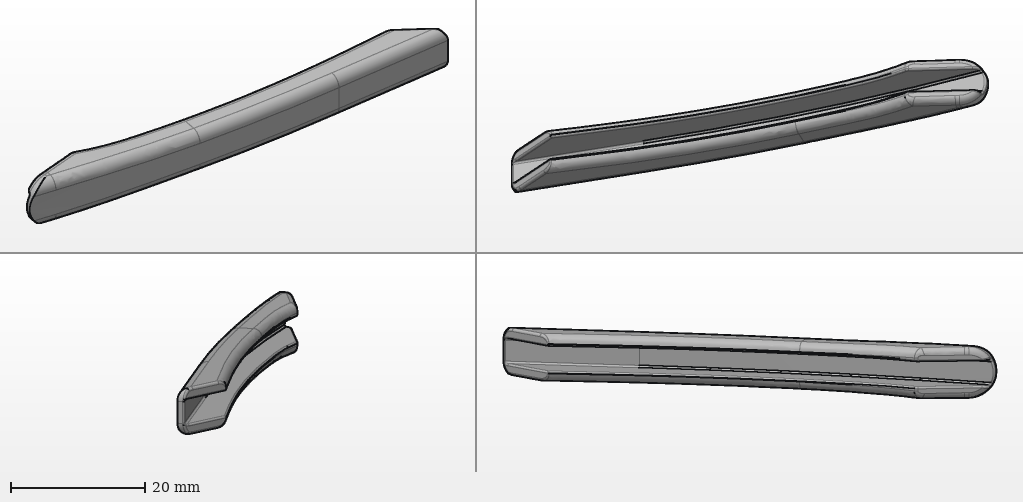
import cadquery as cq

length = 75.1
half_length = length / 2
end_width = 7.8
body_width = 7.2
flare_start_y = -8.25
flare_end_y = -33.0

channel_width = 3.75
web_thickness = 1.05

back_top = (1.7, half_length)
back_arc_start = (3.15, 17.05)
back_arc_crest = (4.0, -5.4)
back_bottom = (2.3, -half_length)

top_cut_corner = (-4.0, 29.6)
top_cut_end = (0.7, half_length)
bottom_cut_corner = (-2.85, -26.4)
bottom_cut_end = (0.6, -half_length)

free_edge_top = (-5.0, half_length)
free_edge_curve = [(-2.6, 18.85), (-1.65, 7.5), (-1.3, -6.1), (-1.5, -15.8), (-1.9, -21.25)]
free_edge_bottom = (-4.8, -half_length)

back_radius = 1.7
flange_outer_radius = 1.35
flange_inner_radius = 0.3
floor_radius = 0.3
top_cut_radius = 0.45
bottom_cut_radius = 1.05
top_corner_radius = 2.25

reach = 9.0
selection_margin = 0.1


def xy_plane(half_depth):
    """Workplane at the bottom of a slab centred on the XY plane."""
    return cq.Workplane("XY").workplane(offset=-half_depth)


def yz_plane():
    """Workplane at the -X side of a slab centred on the YZ plane."""
    return cq.Workplane("YZ").workplane(offset=-reach)


def mirrored_box(x_range, y_reach, z_range):
    """Selector for edges whose middles lie in a box or in its mirror image below the XY plane."""
    x_min, x_max = x_range
    z_min, z_max = z_range
    upper = cq.selectors.BoxSelector((x_min, -y_reach, z_min), (x_max, y_reach, z_max))
    lower = cq.selectors.BoxSelector((x_min, -y_reach, -z_max), (x_max, y_reach, -z_min))
    return upper + lower


def long_edges(x_min, x_max):
    """Selector for the lengthwise edges on both sides, leaving out those at the two ends."""
    return mirrored_box((x_min, x_max), half_length - selection_margin, (channel_width / 4, reach))


def mouth_edges():
    """Selector for the inner edges of both flanges, along the mouth of the channel."""
    wall_z = channel_width / 2
    z_range = (wall_z - selection_margin, wall_z + selection_margin)
    return mirrored_box((-reach, 0), half_length, z_range)


def start_back_curve(plane, inset=0.0):
    """Draw the back curve from +Y to -Y, moved toward -X by an inset."""
    top, arc_start, crest, bottom = [
        (x - inset, y) for x, y in (back_top, back_arc_start, back_arc_crest, back_bottom)
    ]
    return plane.moveTo(*top).lineTo(*arc_start).threePointArc(crest, bottom)


def bowed_slab():
    """Bowed outline between the back curve and the free edge of the flanges."""
    free_edge = [bottom_cut_corner] + free_edge_curve[::-1] + [top_cut_corner, free_edge_top]
    return (
        start_back_curve(xy_plane(reach))
        .lineTo(*free_edge_bottom)
        .spline(free_edge, includeCurrent=True)
        .close()
        .extrude(2 * reach)
    )


def flared_slab():
    """Parallel side faces that spread smoothly towards the -Y end."""
    half_body = body_width / 2
    half_end = end_width / 2
    toward_top = (1, 0)
    toward_bottom = (-1, 0)
    return (
        yz_plane()
        .moveTo(-half_length, -half_end)
        .lineTo(flare_end_y, -half_end)
        .spline([(flare_start_y, -half_body)], tangents=[toward_top] * 2, includeCurrent=True)
        .lineTo(half_length, -half_body)
        .lineTo(half_length, half_body)
        .lineTo(flare_start_y, half_body)
        .spline([(flare_end_y, half_end)], tangents=[toward_bottom] * 2, includeCurrent=True)
        .lineTo(-half_length, half_end)
        .close()
        .extrude(2 * reach)
    )


def bar():
    """Solid bowed bar, rounded along its four long outer edges."""
    back_edges = long_edges(back_top[0], reach)
    free_edges = long_edges(-reach, -web_thickness)
    blank = bowed_slab().intersect(flared_slab())
    blank = blank.edges(back_edges).fillet(back_radius)
    return blank.edges(free_edges).fillet(flange_outer_radius)


def end_profile():
    """Slab that trims the ends: a full round at -Y and rounded corners at +Y."""
    radius = end_width / 2
    centre_y = radius - half_length
    return (
        yz_plane()
        .moveTo(half_length, radius)
        .lineTo(centre_y, radius)
        .threePointArc((-half_length, 0), (centre_y, -radius))
        .lineTo(half_length, -radius)
        .close()
        .extrude(2 * reach)
        .edges(">Y and |X")
        .fillet(top_corner_radius)
    )


def end_cut(corner, end):
    """Wedge outside the sloping line from a flange corner to the end of the bar."""
    slope = (end[1] - corner[1]) / (end[0] - corner[0])
    start = (-reach, corner[1] - slope * (reach + corner[0]))
    return xy_plane(reach).polyline([start, end, (-reach, end[1])]).close().extrude(2 * reach)


def round_end_cut(solid, corner, end, radius):
    """Round the rim of the sloping face left by an end cut."""
    normal = cq.Vector(corner[1] - end[1], end[0] - corner[0], 0)
    rim = solid.faces(cq.selectors.ParallelDirSelector(normal)).edges()
    return rim.fillet(radius)


def channel():
    """Straight-sided channel whose floor follows the back at the web thickness."""
    cutter = (
        start_back_curve(xy_plane(channel_width / 2), web_thickness)
        .lineTo(-reach, -half_length)
        .lineTo(-reach, half_length)
        .close()
        .extrude(channel_width)
    )
    return cutter.edges(long_edges(0, reach)).fillet(floor_radius)


solid_bar = (
    bar()
    .cut(end_cut(top_cut_corner, top_cut_end))
    .cut(end_cut(bottom_cut_corner, bottom_cut_end))
    .intersect(end_profile())
)
solid_bar = round_end_cut(solid_bar, top_cut_corner, top_cut_end, top_cut_radius)
solid_bar = round_end_cut(solid_bar, bottom_cut_corner, bottom_cut_end, bottom_cut_radius)

result = solid_bar.cut(channel()).edges(mouth_edges()).fillet(flange_inner_radius)